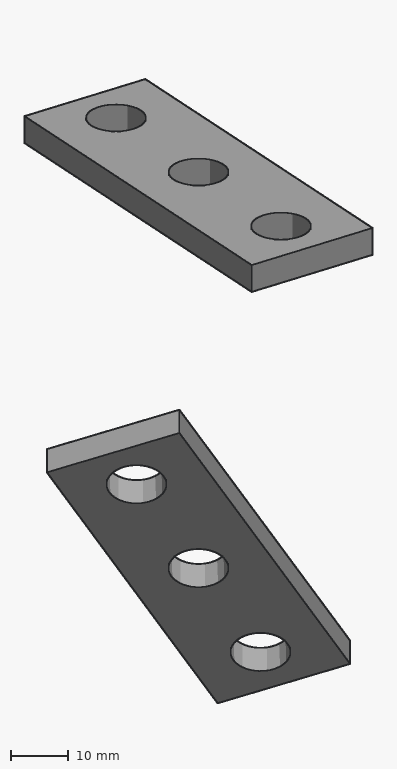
import cadquery as cq

length = 69.85
width = 25.4
thickness = 5.25

hole_diameter = 10.4
hole_count = 3
hole_pitch = 25.35

plate = cq.Workplane("XY").box(length, width, thickness)

result = (
    plate.faces(">Z")
    .workplane()
    .rarray(hole_pitch, width, hole_count, 1)
    .hole(hole_diameter)
)